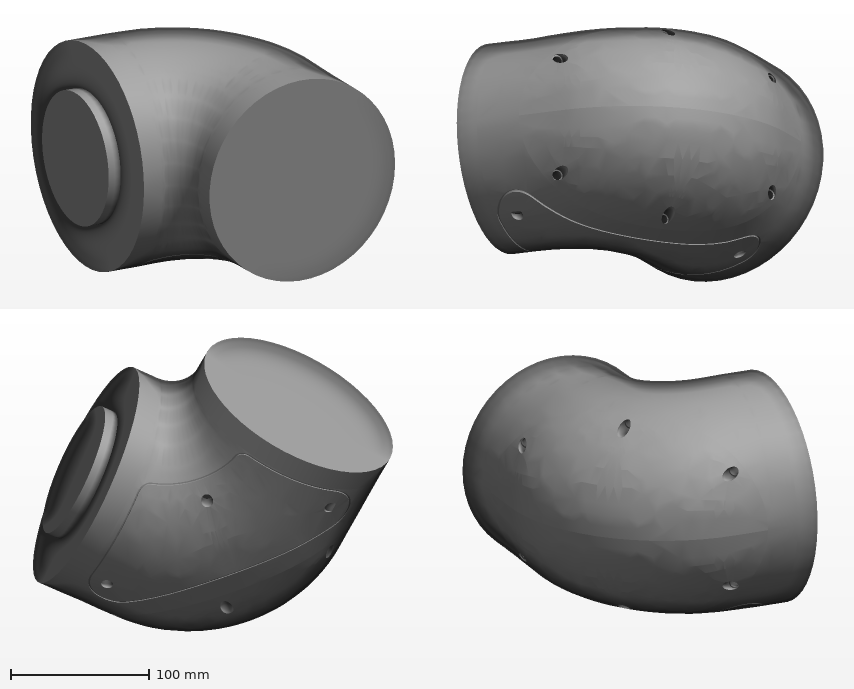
import cadquery as cq
import math


overall_x = 206.5
overall_y = 197.7
large_dia = 170.0
small_dia = 153.0
spigot_dia = 100.0
spigot_height = 10.0
collar_length = 16.0
dome_bulge = 0.8
dome_radius = 121.0
section_count = 31

cap_angle = 43.2
cap_offset = 6.6
cap_middle = -4.1
cap_screw_reach = 81.0
cap_outer_screw_z = 43.0
cap_middle_screw_z = 68.5
cap_thickness_under_head = 2.0
screw_head_dia = 8.7
screw_dia = 6.8
thread_depth = 12.4

panel_groove_width = 1.2
panel_groove_depth = 1.0
panel_offset = -9.5
panel_arc_radius = 55.8
panel_tip_radius = 20.2
panel_corner_radius = 9.3
panel_large_gap = 4.1
panel_small_gap = 1.0
panel_screw_floor_z = -62.0
panel_screw_points = [(-34.3, -76.0), (57.8, -41.7), (88.8, 42.3)]

large_radius = large_dia / 2
small_radius = small_dia / 2
dome_top = small_radius + dome_bulge
large_face_y = dome_top + spigot_height - overall_y
small_face_x = overall_x - large_radius
bend_x = small_face_x - collar_length
bend_y = large_face_y + collar_length
throat_x = bend_x - large_radius
throat_y = -small_radius - bend_y
dome_x = dome_radius - large_radius
dome_y = dome_top - dome_radius


def throat_distance(angle):
    """Distance from the bend line to the elliptical inside of the bend."""
    return throat_x * throat_y / math.hypot(throat_y * math.cos(angle), throat_x * math.sin(angle))


def back_distance(angle):
    """Distance from the bend line to the outside: straight wall, dome arc, straight roof."""
    ray_x = -math.cos(angle)
    ray_y = math.sin(angle)
    if bend_y + (bend_x + large_radius) * math.tan(angle) < dome_y:
        return (bend_x + large_radius) / math.cos(angle)
    roof_slope = -dome_bulge / (bend_x - dome_x)
    roof_distance = (small_radius - bend_y) / (ray_y - roof_slope * ray_x)
    if bend_x + roof_distance * ray_x > dome_x:
        return roof_distance
    to_bend_x = bend_x - dome_x
    to_bend_y = bend_y - dome_y
    along = to_bend_x * ray_x + to_bend_y * ray_y
    beyond = to_bend_x**2 + to_bend_y**2 - dome_radius**2
    return -along + math.sqrt(along**2 - beyond)


def bend(inset=0.0):
    """Solid bend, with every elliptical section made smaller by the inset."""
    sections = []
    for i in range(section_count):
        angle = math.pi / 2 * i / (section_count - 1)
        near = throat_distance(angle)
        far = back_distance(angle)
        half_height = small_radius + (large_radius - small_radius) * math.cos(angle) ** 2
        middle = (near + far) / 2
        center = cq.Vector(bend_x - middle * math.cos(angle), bend_y + middle * math.sin(angle), 0)
        normal = cq.Vector(math.sin(angle), math.cos(angle), 0)
        outward = cq.Vector(-math.cos(angle), math.sin(angle), 0)
        upright = half_height - inset
        in_plane = max((far - near) / 2 - inset, upright)
        edge = cq.Edge.makeEllipse(in_plane, upright, center, normal, outward)
        sections.append(cq.Wire.assembleEdges([edge]))
    return cq.Workplane(cq.Solid.makeLoft(sections))


cap_tilt = math.radians(cap_angle)
cap_normal = (-math.sin(cap_tilt), math.cos(cap_tilt), 0)
cap_plane = cq.Plane(
    origin=(
        cap_offset * cap_normal[0] + cap_middle * math.cos(cap_tilt),
        cap_offset * cap_normal[1] + cap_middle * math.sin(cap_tilt),
        0,
    ),
    xDir=(math.cos(cap_tilt), math.sin(cap_tilt), 0),
    normal=cap_normal,
)


def cap_screw_holes():
    """Three counterbored holes and their mirror images, square to the cap joint."""
    points = []
    for side in (-1, 1):
        points.append((-cap_screw_reach, side * cap_outer_screw_z))
        points.append((0, side * cap_middle_screw_z))
        points.append((cap_screw_reach, side * cap_outer_screw_z))
    joint = cq.Workplane(cap_plane)
    heads = (
        joint.workplane(offset=cap_thickness_under_head)
        .pushPoints(points)
        .circle(screw_head_dia / 2)
        .extrude(dome_radius)
    )
    threads = (
        joint.workplane(offset=-thread_depth)
        .pushPoints(points)
        .circle(screw_dia / 2)
        .extrude(thread_depth + cap_thickness_under_head)
    )
    return heads.union(threads)


def panel_plate():
    """Panel plate: two straight edges, a sloped edge along the cap joint, an arc round the bend line."""
    low_y = bend_y + panel_large_gap
    high_x = bend_x - panel_small_gap
    tip_x = (low_y * math.cos(cap_tilt) - panel_offset) / math.sin(cap_tilt)
    tip_y = (high_x * math.sin(cap_tilt) + panel_offset) / math.cos(cap_tilt)
    arc_start = (bend_x - math.sqrt(panel_arc_radius**2 - panel_large_gap**2), low_y)
    arc_end = (high_x, bend_y + math.sqrt(panel_arc_radius**2 - panel_small_gap**2))
    arc_reach = panel_arc_radius * math.sqrt(0.5)
    plate = (
        cq.Workplane("XY")
        .moveTo(tip_x, low_y)
        .lineTo(*arc_start)
        .threePointArc((bend_x - arc_reach, bend_y + arc_reach), arc_end)
        .lineTo(high_x, tip_y)
        .close()
        .extrude(-large_dia)
    )
    plate = plate.edges("|Z and (<X or >Y)").fillet(panel_tip_radius)
    start_corner = cq.selectors.NearestToPointSelector((*arc_start, -large_radius))
    end_corner = cq.selectors.NearestToPointSelector((*arc_end, -large_radius))
    return plate.edges(start_corner + end_corner).fillet(panel_corner_radius)


def panel_groove():
    """Shallow joint line of constant depth just inside the panel edge."""
    plate = panel_plate()
    panel_wire = plate.faces(">Z").wires().val()
    core = cq.Workplane(panel_wire.offset2D(-panel_groove_width)[0]).toPending().extrude(-large_dia)
    return plate.cut(core).cut(bend(panel_groove_depth))


def panel_screw_pockets():
    """Flat-bottomed pockets for the panel screws, open to -Z."""
    return (
        cq.Workplane("XY")
        .workplane(offset=panel_screw_floor_z)
        .pushPoints(panel_screw_points)
        .circle(screw_head_dia / 2)
        .extrude(-large_radius)
    )


def round_end(plane, origin, diameter, length):
    """Cylinder starting at the origin and growing along the plane normal."""
    return cq.Workplane(plane, origin=origin).circle(diameter / 2).extrude(length)


large_collar = round_end("XZ", (0, bend_y, 0), large_dia, collar_length)
spigot = round_end("XZ", (0, large_face_y, 0), spigot_dia, spigot_height)
small_collar = round_end("YZ", (bend_x, 0, 0), small_dia, collar_length)

housing = (
    bend()
    .cut(panel_groove())
    .cut(panel_screw_pockets())
    .cut(cap_screw_holes())
    .union(large_collar)
    .union(spigot)
    .union(small_collar)
)

cap_space = (
    cq.Workplane(cap_plane)
    .rect(2 * overall_x, 2 * overall_x)
    .extrude(overall_y)
)
cap = housing.intersect(cap_space)
result = housing.cut(cap_space).union(cap, clean=False)